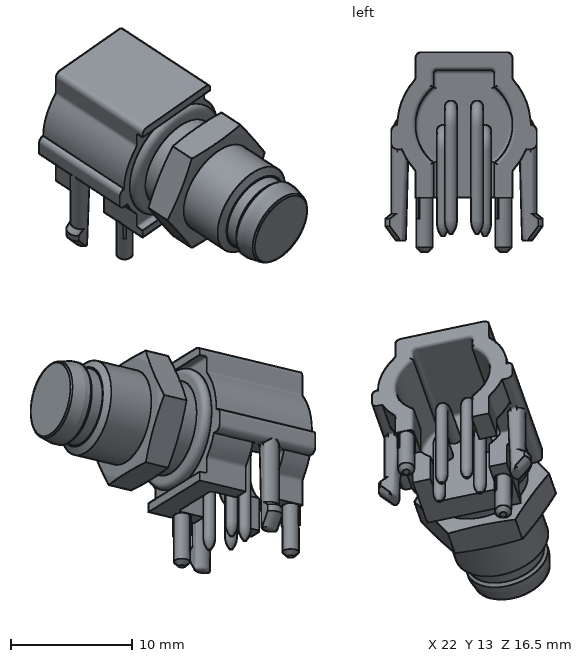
import cadquery as cq
import math


housing_length = 9.3
block_length = 9.99
block_half_width = 4.0
block_half_height = 6.0
shell_radius = 5.5
rail_half_width = 6.0
rail_height = 2.0
outline_fillet = 0.5
lip_inner_height = 5.21
lip_fillet = 0.22

cavity_depth = 8.0
cavity_radius = 4.0
slot_half_width = 2.5
slot_top = 4.5
cavity_fillet = 0.3

clip_x = 4.0
window_width = 3.04
window_fillet = 0.2

clip_width = 1.45
clip_arc_radius = 0.9
clip_top = -(rail_height - outline_fillet)
barb_slope_top = -7.35
barb_top = -7.75
barb_bottom = -8.34
clip_bottom = -9.57
barb_span = 13.0
barb_half_span = barb_span / 2
clip_foot_reach = 5.59
clip_inner_top = 4.55
clip_inner_bottom = 4.77
clip_bulge_top = 0.2
clip_bulge_bottom = 0.4
clip_fillet = 0.3
clip_foot_fillet = 0.07
clip_foot_rounding = 0.2
clip_root_outer = rail_half_width - outline_fillet
clip_root_inner = 4.97

post_radius = 0.68
post_bottom = -10.5
post_chamfer = 0.4
post_places = ((post_radius, 3.25), (7.2, -3.25))
rib_width = 0.25
rib_height = 0.09
rib_bottom = -7.72
rib_angle = -45

pin_radius = 0.5
pin_bend_radius = 1.5
pin_tip_length = 1.01
pin_tip_mid_radius = 0.4
pin_tip_end_radius = 0.1
inner_pin = dict(x=3.78, y=1.08, bend_start=0.0, bottom=-9.0)
outer_pin = dict(x=5.48, y=1.74, bend_start=-rail_height, bottom=-9.2)

collar_radius = 5.13
collar_width = 1.0
barrel_radius = 4.0
barrel_end = 18.6
taper_end = 18.99
taper_end_radius = 3.37
neck_radius = 3.25
neck_end = 20.0
nose_start = 20.26
nose_radius = 3.5
nose_taper_start = 20.8
nose_tip_radius = 3.23
nose_end = 22.0
nose_edge = 0.13

nut_start = 12.2
nut_width = 2.49
nut_across_flats = 9.99
nut_chamfer_depth = 0.15

SIDES = (-1, 1)


def x_box(x_start, x_end, half_width, z_bottom, z_top):
    """Box centred on Y = 0."""
    size = (x_end - x_start, 2 * half_width, z_top - z_bottom)
    return cq.Workplane().box(*size, centered=(False, True, False)).translate((x_start, 0, z_bottom))


def x_cylinder(x_start, length, radius):
    """Cylinder along the connector axis."""
    return cq.Workplane("YZ", origin=(x_start, 0, 0)).circle(radius).extrude(length)


def housing_shell():
    """Block, round shell and side rails, with the lips left by a gap at the +X end."""
    block = x_box(0, block_length, block_half_width, -block_half_height, block_half_height)
    block = block.edges("|X and >Z").fillet(outline_fillet)
    shell = block.union(x_cylinder(0, block_length, shell_radius))
    seam_z = math.sqrt(shell_radius**2 - block_half_width**2)
    for y_side in SIDES:
        for z_side in SIDES:
            corner = (block_length / 2, y_side * block_half_width, z_side * seam_z)
            shell = shell.edges(cq.NearestToPointSelector(corner)).fillet(outline_fillet)

    rail = x_box(0, block_length, rail_half_width, -rail_height, 0)
    shell = shell.union(rail.edges("|X").fillet(outline_fillet))

    lip_gap = x_box(
        housing_length,
        2 * block_length,
        2 * block_half_width,
        -lip_inner_height,
        lip_inner_height,
    )
    return shell.cut(lip_gap.edges("|Y and <X").fillet(lip_fillet))


def cut_cavity(shell):
    """Round cavity with a flat-sided slot, rounded at its mouth and in its back corner."""
    slot = x_box(0, cavity_depth, slot_half_width, -2 * block_half_height, slot_top)
    slot = slot.edges("|X and >Z").fillet(cavity_fillet)
    cavity = slot.union(x_cylinder(0, cavity_depth, cavity_radius))
    cavity = cavity.faces(">X").edges().fillet(cavity_fillet)
    shell = shell.cut(cavity)
    margin = 0.22
    mouth_region = cq.selectors.BoxSelector(
        (-margin, -block_half_width + margin, -block_half_height + margin),
        (margin, block_half_width - margin, slot_top + margin),
    )
    return shell.faces("<X").edges(mouth_region).fillet(cavity_fillet)


def cut_window(shell):
    window = x_box(
        clip_x - window_width / 2,
        clip_x + window_width / 2,
        2 * rail_half_width,
        -2 * block_half_height,
        -rail_height,
    )
    return shell.cut(window.edges("|Y and >Z").fillet(window_fillet))


def clip_section(z, outer_y, outer_fillet, inner_fillet):
    """Wire of one horizontal section of the clip on the +Y side."""
    fraction = (clip_top - z) / (clip_top - clip_bottom)
    inner_y = clip_inner_top + fraction * (clip_inner_bottom - clip_inner_top)
    inner_edge_y = inner_y + clip_bulge_top + fraction * (clip_bulge_bottom - clip_bulge_top)
    half = clip_width / 2
    outer_edge_y = outer_y - clip_arc_radius + math.sqrt(clip_arc_radius**2 - half**2)
    wire = (
        cq.Workplane("XY", origin=(clip_x, 0, z))
        .moveTo(-half, outer_edge_y)
        .threePointArc((0, outer_y), (half, outer_edge_y))
        .lineTo(half, inner_edge_y)
        .threePointArc((0, inner_y), (-half, inner_edge_y))
        .close()
        .val()
    )
    middle_y = (outer_edge_y + inner_edge_y) / 2
    wire = wire.fillet2D(inner_fillet, [v for v in wire.Vertices() if v.Y < middle_y])
    if outer_fillet:
        wire = wire.fillet2D(outer_fillet, [v for v in wire.Vertices() if v.Y > middle_y])
    return wire


def snap_clip():
    """Clip on the +Y side: a stem rounded all round, and a barb with sharp outer edges."""
    stem = cq.Solid.makeLoft(
        [clip_section(z, rail_half_width, clip_fillet, clip_fillet) for z in (clip_top, barb_slope_top)],
        True,
    )
    barb_levels = (
        (barb_slope_top, rail_half_width, clip_fillet),
        (barb_top, barb_half_span, clip_fillet),
        (barb_bottom, barb_half_span, clip_fillet),
        (clip_bottom, clip_foot_reach, clip_foot_fillet),
    )
    barb = cq.Solid.makeLoft([clip_section(z, y, 0, fillet) for z, y, fillet in barb_levels], True)
    barb = cq.Workplane(barb).faces("<Z").edges().fillet(clip_foot_rounding)
    return cq.Workplane(stem).union(barb).union(clip_root())


def clip_root():
    """Concave flares that widen the clip where it leaves the flat top of the window."""
    half = clip_width / 2
    radius = window_fillet
    arc_inset = radius * (1 - math.sqrt(0.5))
    return (
        cq.Workplane("XZ", origin=(clip_x, clip_root_outer, -rail_height))
        .moveTo(-half - radius, 0)
        .threePointArc((-half - arc_inset, -arc_inset), (-half, -radius))
        .lineTo(half, -radius)
        .threePointArc((half + arc_inset, -arc_inset), (half + radius, 0))
        .close()
        .extrude(clip_root_outer - clip_root_inner)
    )


def mounting_post(x, y):
    length = -block_half_height - post_bottom
    post = cq.Workplane("XY", origin=(x, y, post_bottom)).circle(post_radius).extrude(length)
    post = post.faces("<Z").chamfer(post_chamfer)
    ribs = (
        cq.Workplane("XY", origin=(x, y, rib_bottom))
        .transformed(rotate=(0, 0, rib_angle))
        .rect(2 * (post_radius + rib_height), rib_width)
        .extrude(-block_half_height - rib_bottom)
    )
    return post.union(ribs)


def contact_pin(x, y, bend_start, bottom):
    tip_top = bottom + pin_tip_length
    leg = (
        cq.Workplane("XZ", origin=(x, y, 0))
        .moveTo(0, bottom)
        .lineTo(pin_tip_end_radius, bottom)
        .threePointArc((pin_tip_mid_radius, bottom + pin_tip_length / 2), (pin_radius, tip_top))
        .lineTo(pin_radius, bend_start)
        .lineTo(0, bend_start)
        .close()
        .revolve(360, (0, 0, 0), (0, 1, 0))
    )
    bend = (
        cq.Workplane("XY", origin=(x, y, bend_start))
        .circle(pin_radius)
        .revolve(90, (pin_bend_radius, 0, 0), (pin_bend_radius, 1, 0))
    )
    arm_start = x + pin_bend_radius
    arm = x_cylinder(arm_start, housing_length - arm_start, pin_radius)
    arm = arm.translate((0, y, bend_start + pin_bend_radius))
    return leg.union(bend).union(arm)


def collar():
    """Disc with a fully rounded rim."""
    rim_radius = collar_width / 2
    return (
        cq.Workplane("XY", origin=(housing_length, 0, 0))
        .lineTo(0, collar_radius - rim_radius)
        .threePointArc((rim_radius, collar_radius), (collar_width, collar_radius - rim_radius))
        .lineTo(collar_width, 0)
        .close()
        .revolve(360, (0, 0, 0), (1, 0, 0))
    )


def barrel():
    outline = (
        (housing_length, 0),
        (housing_length, barrel_radius),
        (barrel_end, barrel_radius),
        (taper_end, taper_end_radius),
        (taper_end, neck_radius),
        (neck_end, neck_radius),
        (nose_start, nose_radius),
        (nose_taper_start, nose_radius),
        (nose_end - nose_edge, nose_tip_radius),
        (nose_end, nose_tip_radius - nose_edge),
        (nose_end, 0),
    )
    return cq.Workplane("XY").polyline(outline).close().revolve(360, (0, 0, 0), (1, 0, 0))


def make_connector():
    """Housing with its clips, posts, pins, collar and barrel, all one solid."""
    connector = cut_window(cut_cavity(housing_shell()))
    clip = snap_clip()
    connector = connector.union(clip).union(clip.mirror("XZ"))
    for x, y in post_places:
        connector = connector.union(mounting_post(x, y))
    for pin in (inner_pin, outer_pin):
        for side in SIDES:
            bent_pin = contact_pin(pin["x"], side * pin["y"], pin["bend_start"], pin["bottom"])
            connector = connector.union(bent_pin)
    connector = connector.union(collar()).union(barrel())
    return connector.solids()


def make_nut():
    corner_radius = nut_across_flats / 2 / math.cos(math.pi / 6)
    hexagon = cq.Workplane("YZ", origin=(nut_start, 0, 0)).polygon(6, 2 * corner_radius).extrude(nut_width)
    chamfered_blank = (
        x_cylinder(nut_start, nut_width, corner_radius)
        .edges()
        .chamfer(nut_chamfer_depth, corner_radius - nut_across_flats / 2)
    )
    bore = x_cylinder(nut_start, nut_width, barrel_radius)
    return hexagon.intersect(chamfered_blank).cut(bore).solids()


connector = make_connector()
nut = make_nut()
result = cq.Compound.makeCompound([connector.val(), nut.val()])